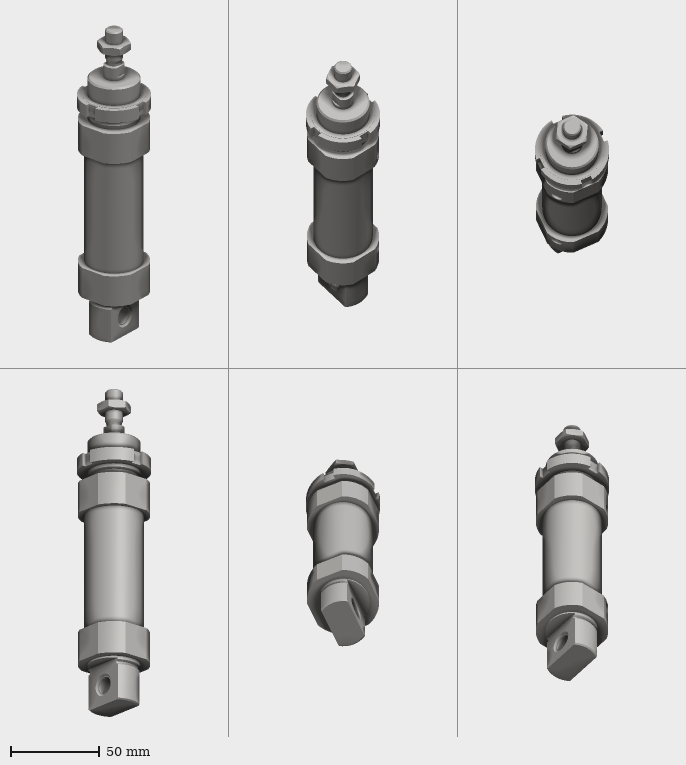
import cadquery as cq
import math


total_height = 191.5
housing_top = 161.5
end_cap_height = 19.0
rear_cap_bottom = 26.0
front_cap_bottom = 116.2
rear_cap_top = rear_cap_bottom + end_cap_height
front_cap_top = front_cap_bottom + end_cap_height

tube_diameter = 33.7
thread_diameter = 30.0
cap_diameter = 41.0
cap_across_flats = 38.0
front_chamfer = 1.0
groove_diameter = 27.8
front_groove_bottom = 137.5
front_groove_top = 140.5
rear_groove_bottom = 21.0
rear_groove_top = 24.1
groove_side_rise = 1.0

eye_thickness = 16.0
eye_top = 25.0
eye_chamfer = 0.8
eye_hole_diameter = 10.0
eye_recess_diameter = 11.1
eye_recess_depth = 1.1
eye_mouth_diameter = 13.2
eye_hole_height = 12.0

port_diameter = 6.7
port_depth = 7.7
port_offset = 4.8
port_angle = 130

rod_diameter = 12.0
rod_thread_diameter = 10.0
rod_neck_diameter = 8.5
rod_tip_chamfer = 0.8
rod_shoulder = 169.5
rod_neck_bottom = 169.9
rod_neck_top = 171.2
rod_thread_bottom = 173.3
rod_seat_diameter = 9.5
wrench_across_flats = 10.0
wrench_flat_bottom = 163.5

rod_nut_across_flats = 17.0
rod_nut_height = 5.0
rod_nut_bottom = 178.7
rod_nut_chamfer_angle = 25
hexagon_sides = 6
hexagon_half_angle = 180 / hexagon_sides

mount_nut_width = 41.5
mount_nut_bottom = 142.5
mount_nut_height = 7.7
mount_nut_face_diameter = 36.0
mount_nut_face_rise = 0.2
slot_width = 6.3
slot_floor_radius = 18.5
slot_count = 4
mount_nut_diameter = math.hypot(mount_nut_width, slot_width)


def disc(diameter, bottom, height):
    """Round bar on the axis."""
    return cq.Workplane("XY").workplane(offset=bottom).circle(diameter / 2).extrude(height)


def square_bar(side, bottom, height):
    """Square bar on the axis with its sides across X and Y."""
    return cq.Workplane("XY").workplane(offset=bottom).rect(side, side).extrude(height)


def turned(profile):
    """Solid of revolution from (radius, height) points, closed along the Z axis."""
    return cq.Workplane("XZ").polyline(profile).close().revolve(360, (0, 0, 0), (0, 1, 0))


def end_cap(bottom):
    """Round cap with four flats."""
    flats = square_bar(cap_across_flats, bottom, end_cap_height)
    return disc(cap_diameter, bottom, end_cap_height).intersect(flats)


def groove_cutter(bottom, top):
    """Ring of trapezoidal section that cuts an undercut into the thread."""
    outer = thread_diameter / 2
    floor = groove_diameter / 2
    section = [
        (outer, bottom),
        (floor, bottom + groove_side_rise),
        (floor, top - groove_side_rise),
        (outer, top),
    ]
    return turned(section)


def port_cutter(height):
    """Blind round hole drilled radially into a cap."""
    drill = cq.Workplane("YZ").circle(port_diameter / 2).extrude(port_depth)
    drill = drill.translate((cap_diameter / 2 - port_depth, 0, height))
    return drill.rotate((0, 0, 0), (0, 0, 1), port_angle)


def make_eye():
    """Rear stub, flattened across X below its collar, with a hole along X recessed at both ends."""
    stub = disc(thread_diameter, 0, rear_cap_bottom).faces("<Z").chamfer(eye_chamfer)
    stub = stub.cut(groove_cutter(rear_groove_bottom, rear_groove_top))
    tongue = cq.Workplane("XY").rect(eye_thickness, thread_diameter).extrude(eye_top)
    collar = disc(thread_diameter, eye_top, rear_cap_bottom - eye_top)
    eye = stub.intersect(tongue.union(collar))

    half = eye_thickness / 2
    hole_radius = eye_hole_diameter / 2
    recess_radius = eye_recess_diameter / 2
    recess_floor = half - eye_recess_depth
    mouth_radius = eye_mouth_diameter / 2
    mouth_floor = half - (mouth_radius - recess_radius)
    hole_profile = [
        (0, 0),
        (0, hole_radius),
        (recess_floor, hole_radius),
        (recess_floor, recess_radius),
        (mouth_floor, recess_radius),
        (half, mouth_radius),
        (half, 0),
    ]
    half_hole = cq.Workplane("XY").polyline(hole_profile).close().revolve(360, (0, 0, 0), (1, 0, 0))
    hole = half_hole.union(half_hole.mirror("YZ"))
    return eye.cut(hole.translate((0, 0, eye_hole_height)))


def make_housing():
    """Tube, both end caps, threaded front boss and rear eye in one piece."""
    boss = disc(thread_diameter, front_cap_top, housing_top - front_cap_top)
    boss = boss.faces(">Z").chamfer(front_chamfer)
    boss = boss.cut(groove_cutter(front_groove_bottom, front_groove_top))
    tube = disc(tube_diameter, rear_cap_top, front_cap_bottom - rear_cap_top)
    body = make_eye().union(end_cap(rear_cap_bottom)).union(tube)
    body = body.union(end_cap(front_cap_bottom)).union(boss)
    for port_height in (rear_cap_top - port_offset, front_cap_bottom + port_offset):
        body = body.cut(port_cutter(port_height))
    return body


def make_rod():
    """Stepped rod with a threaded end and two wrench flats."""
    rod_radius = rod_diameter / 2
    thread_radius = rod_thread_diameter / 2
    neck_radius = rod_neck_diameter / 2
    profile = [
        (0, housing_top),
        (rod_radius, housing_top),
        (rod_radius, rod_shoulder),
        (rod_seat_diameter / 2, rod_shoulder),
        (neck_radius, rod_neck_bottom),
        (neck_radius, rod_neck_top),
        (thread_radius, rod_thread_bottom),
        (thread_radius, total_height - rod_tip_chamfer),
        (thread_radius - rod_tip_chamfer, total_height),
        (0, total_height),
    ]
    flats = cq.Workplane("XY").workplane(offset=wrench_flat_bottom)
    flats = flats.rect(wrench_across_flats, rod_diameter).extrude(total_height - wrench_flat_bottom)
    round_foot = disc(rod_diameter, housing_top, wrench_flat_bottom - housing_top)
    return turned(profile).intersect(flats.union(round_foot))


def make_rod_nut():
    """Hexagon nut with corners towards +Y and -Y, chamfered on both faces."""
    corner_diameter = rod_nut_across_flats / math.cos(math.radians(hexagon_half_angle))
    top = rod_nut_bottom + rod_nut_height
    hexagon = cq.Workplane("XY").workplane(offset=rod_nut_bottom)
    hexagon = hexagon.polygon(hexagon_sides, corner_diameter).extrude(rod_nut_height)
    hexagon = hexagon.rotate((0, 0, 0), (0, 0, 1), hexagon_half_angle)

    face_radius = rod_nut_across_flats / 2
    corner_radius = corner_diameter / 2
    drop = (corner_radius - face_radius) * math.tan(math.radians(rod_nut_chamfer_angle))
    envelope = [
        (0, rod_nut_bottom),
        (face_radius, rod_nut_bottom),
        (corner_radius, rod_nut_bottom + drop),
        (corner_radius, top - drop),
        (face_radius, top),
        (0, top),
    ]
    nut = hexagon.intersect(turned(envelope))
    return nut.cut(disc(rod_thread_diameter, rod_nut_bottom, rod_nut_height))


def make_mount_nut():
    """Round nut with a slightly raised inner face and four wrench slots in its rim."""
    full_height = mount_nut_height + mount_nut_face_rise
    nut = disc(mount_nut_diameter, mount_nut_bottom, mount_nut_height)
    nut = nut.union(disc(mount_nut_face_diameter, mount_nut_bottom, full_height))
    nut = nut.cut(disc(thread_diameter, mount_nut_bottom, full_height))
    slot_length = mount_nut_diameter / 2 - slot_floor_radius
    slot = cq.Workplane("XY").workplane(offset=mount_nut_bottom)
    slot = slot.center(slot_floor_radius + slot_length / 2, 0)
    slot = slot.rect(slot_length, slot_width).extrude(mount_nut_height)
    for index in range(slot_count):
        nut = nut.cut(slot.rotate((0, 0, 0), (0, 0, 1), index * 360 / slot_count))
    return nut


housing = make_housing()
rod = make_rod()
rod_nut = make_rod_nut()
mount_nut = make_mount_nut()

result = cq.Compound.makeCompound([housing.val(), rod.val(), rod_nut.val(), mount_nut.val()])